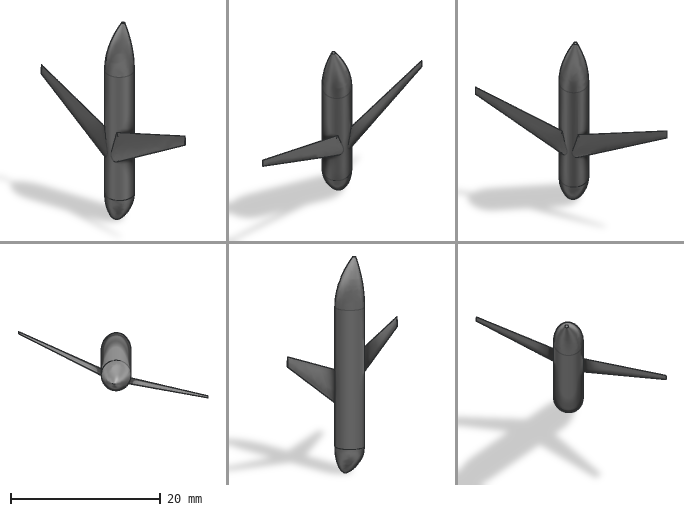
import cadquery as cq
import math

FUSELAGE_LENGTH = 30.0
FUSELAGE_RADIUS = 2.005

NOSE_LENGTH = 3.8
NOSE_TIP_Y = -0.6
NOSE_BELLY_POWER = 0.5
NOSE_SIDE_POWER = 0.6
NOSE_BACK_POWER = 0.8
NOSE_TIP_FRACTION = 0.0012
NOSE_SECTIONS = 12
ELLIPSE_POINTS = 24

TAIL_LENGTH = 7.0
TAIL_TIP_RADIUS = 0.22
TAIL_TIP_Y = 0.72
TAIL_SECTIONS = 7

SPAN = 26.81
THICKNESS_RATIO = 0.12
ROOT_LEADING_Z = 9.1
ROOT_TRAILING_Z = 13.98
ROOT_Y = -1.70
TIP_LEADING_Z = 17.3
TIP_TRAILING_Z = 18.73
TIP_Y = -1.19
AIRFOIL_POINTS = 12


def nose_section(fraction):
    """Elliptical section at a fraction of the nose length from the tip."""
    fullness = 1 - (1 - fraction) ** 2
    half_width = FUSELAGE_RADIUS * fullness ** NOSE_SIDE_POWER
    back_y = NOSE_TIP_Y + (FUSELAGE_RADIUS - NOSE_TIP_Y) * fullness ** NOSE_BACK_POWER
    belly_y = NOSE_TIP_Y - (FUSELAGE_RADIUS + NOSE_TIP_Y) * fullness ** NOSE_BELLY_POWER
    center_y = (back_y + belly_y) / 2
    half_depth = (back_y - belly_y) / 2

    def ellipse_point(turn):
        angle = 2 * math.pi * turn
        return half_width * math.cos(angle), center_y + half_depth * math.sin(angle)

    plane = cq.Workplane("XY", origin=(0, 0, NOSE_LENGTH * fraction))
    return plane.parametricCurve(ellipse_point, N=ELLIPSE_POINTS).val()


def make_nose():
    """Drooped nose, with sections packed closer toward the rounded tip."""
    sections = []
    for index in range(NOSE_SECTIONS + 1):
        spacing = (index / NOSE_SECTIONS) ** 2
        fraction = NOSE_TIP_FRACTION + (1 - NOSE_TIP_FRACTION) * spacing
        sections.append(nose_section(fraction))
    return cq.Workplane(cq.Solid.makeLoft(sections))


def make_barrel():
    """Straight round middle of the fuselage."""
    length = FUSELAGE_LENGTH - NOSE_LENGTH - TAIL_LENGTH
    return cq.Workplane("XY", origin=(0, 0, NOSE_LENGTH)).circle(FUSELAGE_RADIUS).extrude(length)


def make_tail():
    """Tail cone of round sections that shrink and shift along parabolas."""
    start_z = FUSELAGE_LENGTH - TAIL_LENGTH
    sections = []
    for index in range(TAIL_SECTIONS + 1):
        fraction = index / TAIL_SECTIONS
        radius = FUSELAGE_RADIUS - (FUSELAGE_RADIUS - TAIL_TIP_RADIUS) * fraction ** 2
        center = cq.Vector(0, TAIL_TIP_Y * fraction ** 2, start_z + TAIL_LENGTH * fraction)
        sections.append(cq.Wire.makeCircle(radius, center, cq.Vector(0, 0, 1)))
    return cq.Workplane(cq.Solid.makeLoft(sections))


def airfoil_half_thickness(fraction):
    """NACA four-digit half thickness, per unit chord, behind the leading edge."""
    return 5 * THICKNESS_RATIO * (
        0.2969 * math.sqrt(fraction)
        - 0.1260 * fraction
        - 0.3516 * fraction ** 2
        + 0.2843 * fraction ** 3
        - 0.1015 * fraction ** 4
    )


def airfoil_section(x, y, leading_z, trailing_z):
    """Airfoil wire at a spanwise position, with a thin flat trailing edge."""
    chord = trailing_z - leading_z
    points = []
    for index in range(-AIRFOIL_POINTS, AIRFOIL_POINTS + 1):
        fraction = (index / AIRFOIL_POINTS) ** 2
        offset = math.copysign(airfoil_half_thickness(fraction), index)
        points.append((y + chord * offset, leading_z + chord * fraction))
    return cq.Workplane("YZ", origin=(x, 0, 0)).spline(points).close().val()


def make_wing():
    """Wing on the +X side, ruled from the root section to the tip section."""
    root = airfoil_section(0, ROOT_Y, ROOT_LEADING_Z, ROOT_TRAILING_Z)
    tip = airfoil_section(SPAN / 2, TIP_Y, TIP_LEADING_Z, TIP_TRAILING_Z)
    return cq.Workplane(cq.Solid.makeLoft([root, tip], True))


wing = make_wing()
fuselage = make_barrel().union(make_nose()).union(make_tail())
result = fuselage.union(wing).union(wing.mirror("YZ"))